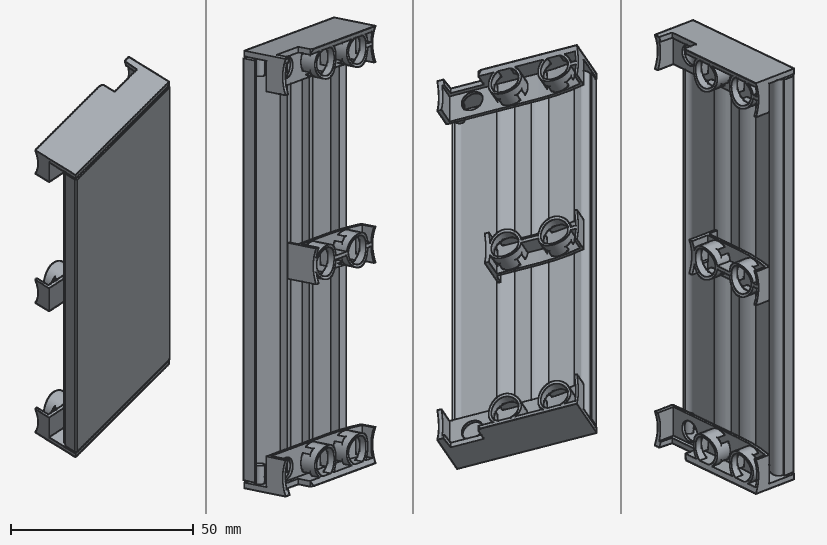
import cadquery as cq
import math

DEPTH = 14.3
WIDTH = 41.5
LENGTH = 124.5

RAIL_FRONT = 8.6
RAIL_LENGTH = 120.0
RAIL_BACK_CHAMFER = 0.5
PIN_CHANNEL_GAP = 0.1
RIM_FRONT = 10.5
CORNER_RADIUS = 1.9
CORNER_LEDGE = 0.5
CORNER_BEAD_START = 4.5
CORNER_BEAD_SLOPE = 0.4
BEAD_FRONT = 9.6
BEAD_WIDTH = 3.2
BEAD_DROP = 1.2
BEAD_SLOPE = 1.0
BEAD_STARTS = (27.8, 17.5)

BRACKET_HEIGHT = 10.2
WALL_FRONT = 5.7
WALL_THICKNESS = 0.9
WALL_BACK = WALL_FRONT + WALL_THICKNESS
BOW_START = 13.8
BOW_DEPTH = 1.7
NEAR_FLANGE = 0.7
FAR_FLANGE = 1.2
FRONT_HOLLOW = 1.0

SOCKET_YS = (7.1, 21.8)
BOSS_DIAMETER = 9.7
BORE_DIAMETER = 8.1
POCKET_DEPTH = 2.6
RIB_THICKNESS = 1.1

CAP_THICKNESS = 1.6
CAP_OVERHANG = 0.1
CAP_BACK = 14.1
CAP_TOP = CAP_THICKNESS - CAP_OVERHANG - BRACKET_HEIGHT / 2
END_BRACKET_Z = (LENGTH - BRACKET_HEIGHT) / 2 - CAP_OVERHANG
NOTCH_DEPTH = 4.5
NOTCH_START = 29.5
NOTCH_TIP_MARGIN = 1.9
NOTCH_ROOT_MARGIN = 2.1
NOTCH_CHAMFER = 0.5
HOLE_DIAMETER = 6.2
HOLE_Y = 33.5
PIN_DIAMETER = 2.7
PIN_X = 10.5
PIN_Y = 39.2
PIN_HEIGHT = 5.2

MIDDLE_WIDTH = 27.4
FOOT_THICKNESS = 0.7
FOOT_FILLET = 0.6
FOOT_RIB_LENGTH = 1.5


def box(x0, x1, y0, y1, z0, z1):
    """Axis-aligned block between two corners."""
    return cq.Workplane("XY").box(x1 - x0, y1 - y0, z1 - z0, centered=False).translate((x0, y0, z0))


def rod_along_x(diameter, y, x0, x1):
    """Cylinder along X at mid-height."""
    return cq.Workplane("YZ", origin=(x0, y, 0)).circle(diameter / 2).extrude(x1 - x0)


def bend_middle(x, y, drop, run):
    """Middle of an arc that leaves (x, y) along -Y and moves by drop in X over a run in Y."""
    radius = (run**2 + drop**2) / (2 * abs(drop))
    half_angle = math.asin(run / radius) / 2
    sideways = math.copysign(radius * (1 - math.cos(half_angle)), drop)
    return x + sideways, y - radius * math.sin(half_angle)


def make_rail():
    """Rail profile in XY, drawn from the +Y rim to the -Y corner, extruded along Z."""
    channel_radius = PIN_DIAMETER / 2 + PIN_CHANNEL_GAP
    panel_x = PIN_X + channel_radius
    diagonal = channel_radius * math.sqrt(0.5)

    profile = (
        cq.Workplane("XY", origin=(0, 0, -RAIL_LENGTH / 2))
        .moveTo(DEPTH, WIDTH)
        .lineTo(RIM_FRONT, WIDTH)
        .lineTo(PIN_X, PIN_Y + channel_radius)
        .threePointArc((PIN_X + diagonal, PIN_Y + diagonal), (panel_x, PIN_Y))
    )
    for start in BEAD_STARTS:
        end = start - BEAD_WIDTH
        profile = (
            profile.lineTo(panel_x, start)
            .lineTo(BEAD_FRONT, start)
            .threePointArc(
                bend_middle(BEAD_FRONT, start, BEAD_DROP, BEAD_WIDTH), (BEAD_FRONT + BEAD_DROP, end)
            )
            .lineTo(panel_x, end - BEAD_SLOPE)
        )
    corner_x = RAIL_FRONT + CORNER_RADIUS
    corner_y = CORNER_LEDGE + CORNER_RADIUS
    corner_edge = CORNER_RADIUS * (1 - math.sqrt(0.5))
    profile = (
        profile.lineTo(panel_x, CORNER_BEAD_START)
        .lineTo(RAIL_FRONT + CORNER_BEAD_SLOPE, CORNER_BEAD_START)
        .lineTo(RAIL_FRONT, corner_y)
        .threePointArc((RAIL_FRONT + corner_edge, CORNER_LEDGE + corner_edge), (corner_x, CORNER_LEDGE))
        .lineTo(corner_x, 0)
        .lineTo(DEPTH - RAIL_BACK_CHAMFER, 0)
        .lineTo(DEPTH, RAIL_BACK_CHAMFER)
        .close()
    )
    return profile.extrude(RAIL_LENGTH)


def bow_middle(x, y_end):
    """Middle of the bow that leaves the flat wall at BOW_START and reaches forward by BOW_DEPTH."""
    return bend_middle(x, BOW_START, -BOW_DEPTH, BOW_START - y_end)


def make_wall(width):
    """Wall and its two side flanges, seen as one channel-shaped outline in XY."""
    front_end = (WALL_FRONT - BOW_DEPTH, NEAR_FLANGE)
    back_end = (WALL_BACK - BOW_DEPTH, 0)
    return (
        cq.Workplane("XY", origin=(0, 0, -BRACKET_HEIGHT / 2))
        .moveTo(0, 0)
        .lineTo(0, NEAR_FLANGE)
        .lineTo(*front_end)
        .threePointArc(bow_middle(WALL_FRONT, NEAR_FLANGE), (WALL_FRONT, BOW_START))
        .lineTo(WALL_FRONT, width - FAR_FLANGE)
        .lineTo(0, width - FAR_FLANGE)
        .lineTo(0, width)
        .lineTo(WALL_BACK, width)
        .lineTo(WALL_BACK, BOW_START)
        .threePointArc(bow_middle(WALL_BACK, 0), back_end)
        .close()
        .extrude(BRACKET_HEIGHT)
    )


def make_front_space():
    """Space in front of the wall, from the -Y flange to the end of the middle bracket."""
    return (
        cq.Workplane("XY", origin=(0, 0, -BRACKET_HEIGHT / 2))
        .moveTo(0, NEAR_FLANGE)
        .lineTo(WALL_FRONT - BOW_DEPTH, NEAR_FLANGE)
        .threePointArc(bow_middle(WALL_FRONT, NEAR_FLANGE), (WALL_FRONT, BOW_START))
        .lineTo(WALL_FRONT, MIDDLE_WIDTH)
        .lineTo(0, MIDDLE_WIDTH)
        .close()
        .extrude(BRACKET_HEIGHT)
    )


def make_socket(y):
    """Boss standing on the wall; the corners of its square pocket open through its side."""
    half = BORE_DIAMETER / 2
    pocket = box(WALL_FRONT - POCKET_DEPTH, WALL_FRONT, y - half, y + half, -half, half)
    boss = rod_along_x(BOSS_DIAMETER, y, 0, WALL_FRONT)
    return boss.cut(rod_along_x(BORE_DIAMETER, y, 0, WALL_FRONT)).cut(pocket).intersect(make_front_space())


def make_rib(y0, y1):
    """Thin level rib in front of the wall, outside the sockets."""
    rib = box(0, WALL_FRONT, y0, y1, -RIB_THICKNESS / 2, RIB_THICKNESS / 2)
    for y in SOCKET_YS:
        rib = rib.cut(rod_along_x(BOSS_DIAMETER, y, 0, WALL_FRONT))
    return rib.intersect(make_front_space())


def make_core(width):
    """Wall, flanges and sockets, which all the brackets share."""
    core = make_wall(width)
    for y in SOCKET_YS:
        core = core.union(make_socket(y))
    return core


def hollow_front(bracket):
    """Cut a shallow cylindrical hollow across the whole front of a bracket."""
    half_height = BRACKET_HEIGHT / 2
    radius = (half_height**2 + FRONT_HOLLOW**2) / (2 * FRONT_HOLLOW)
    cutter = cq.Workplane("XZ", origin=(FRONT_HOLLOW - radius, 0, 0)).circle(radius).extrude(-WIDTH)
    return bracket.cut(cutter)


def make_cap():
    """Cap plate under an end bracket, notched in front of the round hole."""
    return (
        cq.Workplane("XY", origin=(0, 0, CAP_TOP - CAP_THICKNESS))
        .moveTo(0, 0)
        .lineTo(0, NOTCH_START - 2 * NOTCH_CHAMFER)
        .lineTo(NOTCH_CHAMFER, NOTCH_START)
        .lineTo(NOTCH_DEPTH, NOTCH_START)
        .lineTo(NOTCH_DEPTH, WIDTH - NOTCH_ROOT_MARGIN)
        .lineTo(0, WIDTH - NOTCH_TIP_MARGIN)
        .lineTo(0, WIDTH)
        .lineTo(CAP_BACK, WIDTH)
        .lineTo(CAP_BACK, 0)
        .close()
        .extrude(CAP_THICKNESS)
    )


def make_end_bracket():
    """Bracket with a cap and a locating pin below its sockets, which are centred on Z = 0."""
    pin = cq.Workplane("XY", origin=(PIN_X, PIN_Y, CAP_TOP)).circle(PIN_DIAMETER / 2).extrude(PIN_HEIGHT)
    core = make_core(WIDTH).cut(rod_along_x(HOLE_DIAMETER, HOLE_Y, 0, WALL_BACK))
    return core.union(make_cap()).union(pin)


def make_bottom_bracket():
    """End bracket with its cap at the lower end of the assembly."""
    return hollow_front(make_end_bracket()).translate((0, 0, -END_BRACKET_Z))


def make_top_bracket():
    """Mirrored end bracket with a rib between its first boss and the -Y flange."""
    bracket = make_end_bracket().mirror("XY").union(make_rib(0, SOCKET_YS[0]))
    return hollow_front(bracket).translate((0, 0, END_BRACKET_Z))


def make_foot():
    """Plate with a rib that carries the far flange of the middle bracket back to the rail."""
    foot_start = MIDDLE_WIDTH - FOOT_THICKNESS
    fillet_edge = FOOT_FILLET * (1 - math.sqrt(0.5))
    plate = (
        cq.Workplane("XY", origin=(0, 0, -BRACKET_HEIGHT / 2))
        .moveTo(WALL_BACK, MIDDLE_WIDTH)
        .lineTo(BEAD_FRONT, MIDDLE_WIDTH)
        .lineTo(BEAD_FRONT, foot_start)
        .lineTo(WALL_BACK + FOOT_FILLET, foot_start)
        .threePointArc(
            (WALL_BACK + fillet_edge, foot_start - fillet_edge), (WALL_BACK, foot_start - FOOT_FILLET)
        )
        .close()
        .extrude(BRACKET_HEIGHT)
    )
    half_rib = RIB_THICKNESS / 2
    rib = box(WALL_BACK, BEAD_FRONT, foot_start - FOOT_RIB_LENGTH, foot_start, -half_rib, half_rib)
    return plate.union(rib)


def make_middle_bracket():
    """Narrow bracket with a rib along its first two bosses and a foot on the rail."""
    core = make_core(MIDDLE_WIDTH).union(make_rib(0, SOCKET_YS[-1]))
    return hollow_front(core.union(make_foot()))


rail = make_rail()
bottom_bracket = make_bottom_bracket()
middle_bracket = make_middle_bracket()
top_bracket = make_top_bracket()

result = cq.Compound.makeCompound(
    [
        rail.val(),
        *bottom_bracket.solids().vals(),
        *middle_bracket.solids().vals(),
        *top_bracket.solids().vals(),
    ]
)